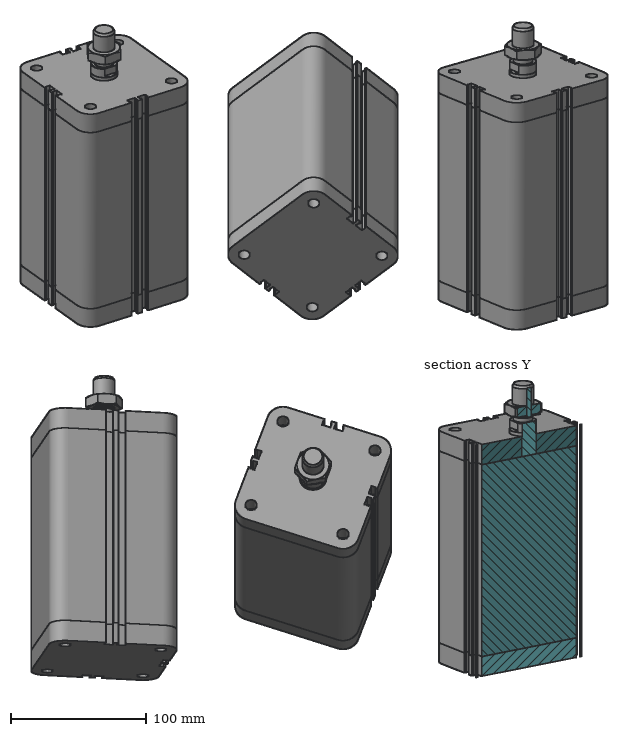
import cadquery as cq
import math

full_turn = 360
quarter_turn = 90

width = 96.0
corner_radius = 12.0
body_length = 179.0
cover_length = 15.5
barrel_length = body_length - 2 * cover_length

mount_hole_diameter = 8.4
mount_hole_offset = width / 2 - corner_radius

slot_depth = 5.0
lip_thickness = 1.65
mouth_inner = 2.1
mouth_outer = 7.3
undercut = 0.7
rib_bevel = 0.4
slot_faces = (-quarter_turn, 0, quarter_turn)

rod_length = 38.0
rod_diameter = 20.0
collar_height = 2.7
wrench_diameter = 19.8
wrench_top = 10.0
wrench_chamfer = 0.3
flat_width = 17.0
flat_run_out_height = 1.4
neck_diameter = 14.5
neck_top = 13.0
thread_diameter = 16.0
tip_chamfer_radial = 1.2
tip_chamfer_height = 2.0

nut_base = 14.9
nut_height = 8.0
nut_flats = 24.0
nut_sides = 6
nut_corners = nut_flats / math.cos(math.pi / nut_sides)
nut_face_diameter = 23.8
nut_chamfer_angle = 23.0


def rounded_block(base, length):
    """Square block with rounded vertical edges."""
    block = cq.Workplane("XY", origin=(0, 0, base)).rect(width, width).extrude(length)
    return block.edges("|Z").fillet(corner_radius)


def slot_pair(base, length, bevel):
    """Cutter for the two slots in the -Y face; bevel narrows the tip of the rib between them."""
    face = -width / 2
    lip = face + lip_thickness
    floor = face + slot_depth
    points = [
        (mouth_outer, face),
        (mouth_outer, lip),
        (mouth_outer + undercut, lip),
        (mouth_outer + undercut, floor),
        (mouth_inner - undercut, floor),
        (mouth_inner - undercut, lip),
        (mouth_inner, lip),
    ]
    if bevel > 0:
        points.append((mouth_inner, face + bevel))
    points.append((mouth_inner - bevel, face))
    slot = cq.Workplane("XY", origin=(0, 0, base)).polyline(points).close().extrude(length)
    return slot.union(slot.mirror("YZ"))


def slotted_block(base, length, bevel=0.0):
    """Rounded block with a slot pair along the -X, -Y and +X faces."""
    block = rounded_block(base, length)
    cutter = slot_pair(base, length, bevel)
    for angle in slot_faces:
        block = block.cut(cutter.rotate((0, 0, 0), (0, 0, 1), angle))
    return block


def make_cover(base):
    """End cover with four through holes."""
    holes = (
        cq.Workplane("XY", origin=(0, 0, base))
        .rect(2 * mount_hole_offset, 2 * mount_hole_offset, forConstruction=True)
        .vertices()
        .circle(mount_hole_diameter / 2)
        .extrude(cover_length)
    )
    return slotted_block(base, cover_length).cut(holes)


def make_rod():
    """Turned piston rod with two wrench flats, reaching down through the upper cover."""
    thread_radius = thread_diameter / 2
    neck_radius = neck_diameter / 2
    wrench_radius = wrench_diameter / 2
    profile = [
        (0, -cover_length),
        (rod_diameter / 2, -cover_length),
        (rod_diameter / 2, collar_height),
        (wrench_radius, collar_height),
        (wrench_radius, wrench_top - wrench_chamfer),
        (wrench_radius - wrench_chamfer, wrench_top),
        (neck_radius, wrench_top),
        (neck_radius, neck_top),
        (thread_radius, neck_top + thread_radius - neck_radius),
        (thread_radius, rod_length - tip_chamfer_height),
        (thread_radius - tip_chamfer_radial, rod_length),
        (0, rod_length),
    ]
    turned = cq.Workplane("XZ").polyline(profile).close().revolve(full_turn, (0, 0, 0), (0, 1, 0))

    flat = flat_width / 2
    outside = rod_diameter / 2
    flat_profile = [
        (flat, wrench_top),
        (flat, collar_height + flat_run_out_height),
        (wrench_radius, collar_height),
        (outside, collar_height),
        (outside, wrench_top),
    ]
    cutter = cq.Workplane("XZ").polyline(flat_profile).close().extrude(rod_diameter / 2, both=True)
    rod = turned.cut(cutter).cut(cutter.mirror("YZ"))
    return rod.translate((0, 0, body_length))


def make_nut():
    """Hexagonal nut with corners on the Y axis, chamfered on both ends."""
    hexagon = cq.Workplane("XY").polygon(nut_sides, nut_corners).extrude(nut_height)
    hexagon = hexagon.rotate((0, 0, 0), (0, 0, 1), quarter_turn)
    face_radius = nut_face_diameter / 2
    corner = nut_corners / 2
    drop = (corner - face_radius) * math.tan(math.radians(nut_chamfer_angle))
    envelope = (
        cq.Workplane("XZ")
        .polyline(
            [
                (thread_diameter / 2, 0),
                (face_radius, 0),
                (corner, drop),
                (corner, nut_height - drop),
                (face_radius, nut_height),
                (thread_diameter / 2, nut_height),
            ]
        )
        .close()
        .revolve(full_turn, (0, 0, 0), (0, 1, 0))
    )
    return hexagon.intersect(envelope).translate((0, 0, body_length + nut_base))


upper_base = body_length - cover_length
lower_cover = make_cover(0)
barrel = slotted_block(cover_length, barrel_length, rib_bevel)
rod_hole = cq.Workplane("XY", origin=(0, 0, upper_base)).circle(rod_diameter / 2).extrude(cover_length)
upper_cover = make_cover(upper_base).cut(rod_hole)
rod = make_rod()
nut = make_nut()

result = cq.Compound.makeCompound(
    [lower_cover.val(), barrel.val(), upper_cover.val(), rod.val(), nut.val()]
)